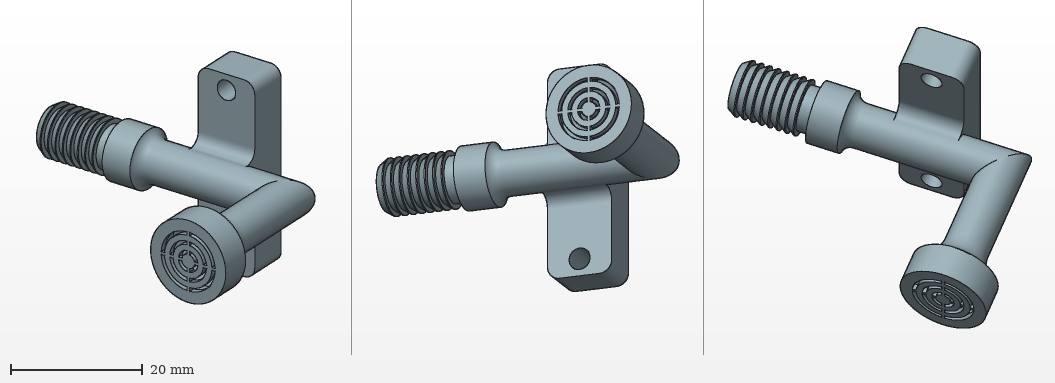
import cadquery as cq
import math


tube_radius = 7.1 / 2
bore_radius = 5.1 / 2
wall = tube_radius - bore_radius

head_radius = 14.0 / 2
head_front = 25.0
head_length = 5.25
head_blend_radius = 5.0
head_cavity_radius = 12.0 / 2
grille_thickness = wall
slot_width = 0.6
slot_outer_radii = (1.8, 3.4, 5.0)
spoke_width = 0.5

arm_length = 50.1 - head_radius
barb_count = 8
first_barb_length = 1.45
barb_pitch = 1.375
barb_root_radius = 7.4 / 2
barb_tip_radius = 9.0 / 2
barb_tip_land = 0.2
collar_radius = 10.0 / 2
collar_offset = 13.1
collar_length = 5.15
collar_blend_radius = 2.0

plate_x = -12.5
plate_width = 10.5
plate_height = 33.45
plate_back = 10.0
plate_thickness = 7.0
plate_front = plate_back - plate_thickness
plate_corner_radius = 2.0
screw_hole_diameter = 3.4
screw_spacing = 28.0
cove_radius = 2.0


def blend_rise(radius, inner, outer):
    """Axial length of a concave arc that leaves `inner` tangentially and reaches `outer`."""
    return math.sqrt(radius**2 - (radius - (outer - inner)) ** 2)


def blend_middle(radius, inner, outer):
    """Axial advance and radial distance of the point halfway along the same arc."""
    angle = math.acos((radius - (outer - inner)) / radius) / 2
    return radius * math.sin(angle), inner + radius * (1 - math.cos(angle))


def mitred_rod(radius):
    """Round bar that follows both arms and meets at a sharp mitre."""
    path = cq.Workplane("XY").moveTo(-arm_length, 0).lineTo(0, 0).lineTo(0, -head_front)
    start = cq.Workplane("YZ", origin=(-arm_length, 0, 0))
    return start.circle(radius).sweep(path, transition="right")


def flared_end(inner, outer, blend_radius, blend_start, end):
    """Turned solid on the -Y axis: an arc from `inner` to `outer`, then a cylinder to `end`."""
    advance, middle_radius = blend_middle(blend_radius, inner, outer)
    blend_end = blend_start + blend_rise(blend_radius, inner, outer)
    return (
        cq.Workplane("XY")
        .moveTo(0, -blend_start)
        .lineTo(inner, -blend_start)
        .threePointArc((middle_radius, -blend_start - advance), (outer, -blend_end))
        .lineTo(outer, -end)
        .lineTo(0, -end)
        .close()
        .revolve(360, (0, 0, 0), (0, 1, 0))
    )


def barbed_end():
    """Barbs, neck and collar turned about the X axis, blended into the tube."""
    collar_start = collar_offset - arm_length
    collar_end = collar_start + collar_length
    advance, middle_radius = blend_middle(collar_blend_radius, tube_radius, collar_radius)
    blend_end = collar_end + blend_rise(collar_blend_radius, tube_radius, collar_radius)

    profile = cq.Workplane("XY").moveTo(-arm_length, 0).lineTo(-arm_length, barb_root_radius)
    for index in range(barb_count):
        tip_x = -arm_length + first_barb_length + index * barb_pitch
        profile = (
            profile.lineTo(tip_x - barb_tip_land, barb_tip_radius)
            .lineTo(tip_x, barb_tip_radius)
            .lineTo(tip_x, barb_root_radius)
        )
    return (
        profile.lineTo(collar_start, barb_root_radius)
        .lineTo(collar_start, collar_radius)
        .lineTo(collar_end, collar_radius)
        .threePointArc((blend_end - advance, middle_radius), (blend_end, tube_radius))
        .lineTo(blend_end, 0)
        .close()
        .revolve(360, (0, 0, 0), (1, 0, 0))
    )


def mounting_plate():
    """Upright plate with rounded corners and two screw holes."""
    return (
        cq.Workplane("XZ", origin=(plate_x, plate_back, 0))
        .rect(plate_width, plate_height)
        .extrude(plate_thickness)
        .edges("|Y")
        .fillet(plate_corner_radius)
        .faces("<Y")
        .workplane(centerOption="CenterOfBoundBox")
        .pushPoints([(0, -screw_spacing / 2), (0, screw_spacing / 2)])
        .hole(screw_hole_diameter)
    )


def plate_coves():
    """Concave fillets between the plate front and the tube, above and below it."""
    cove_y = plate_front - cove_radius
    cove_z = math.sqrt((tube_radius + cove_radius) ** 2 - cove_y**2)
    tangent_ratio = tube_radius / (tube_radius + cove_radius)
    tangent_y = cove_y * tangent_ratio
    tangent_z = cove_z * tangent_ratio
    tube_angle = math.atan2(tangent_z - cove_z, tangent_y - cove_y)
    middle_angle = tube_angle / 2
    middle_y = cove_y + cove_radius * math.cos(middle_angle)
    middle_z = cove_z + cove_radius * math.sin(middle_angle)
    return (
        cq.Workplane("YZ", origin=(plate_x, 0, 0))
        .moveTo(plate_front, cove_z)
        .threePointArc((middle_y, middle_z), (tangent_y, tangent_z))
        .lineTo(tangent_y, -tangent_z)
        .threePointArc((middle_y, -middle_z), (plate_front, -cove_z))
        .close()
        .extrude(plate_width / 2, both=True)
    )


def grille_slots():
    """Three concentric ring slots, each split into quarters by cross spokes."""
    face = cq.Workplane("XZ", origin=(0, -head_front + grille_thickness, 0))
    slots = cq.Workplane("XZ")
    for outer_radius in slot_outer_radii:
        ring = face.circle(outer_radius).circle(outer_radius - slot_width).extrude(grille_thickness)
        slots = slots.add(ring)
    slots = slots.combine()
    spoke_length = 2 * head_radius
    spokes = (
        face.rect(spoke_length, spoke_width)
        .extrude(grille_thickness)
        .union(face.rect(spoke_width, spoke_length).extrude(grille_thickness))
    )
    return slots.cut(spokes)


head_blend_start = head_front - head_length - blend_rise(head_blend_radius, tube_radius, head_radius)
cavity_end = head_front - grille_thickness

head = flared_end(tube_radius, head_radius, head_blend_radius, head_blend_start, head_front)
head_cavity = flared_end(
    bore_radius, head_cavity_radius, head_blend_radius + wall, head_blend_start, cavity_end
)
grille_block = cq.Workplane("XZ", origin=(0, -cavity_end, 0)).circle(head_radius).extrude(grille_thickness)

outside = mitred_rod(tube_radius).union(head).union(barbed_end()).union(mounting_plate()).union(plate_coves())
passage = mitred_rod(bore_radius).cut(grille_block).union(head_cavity).union(grille_slots())

result = outside.cut(passage)